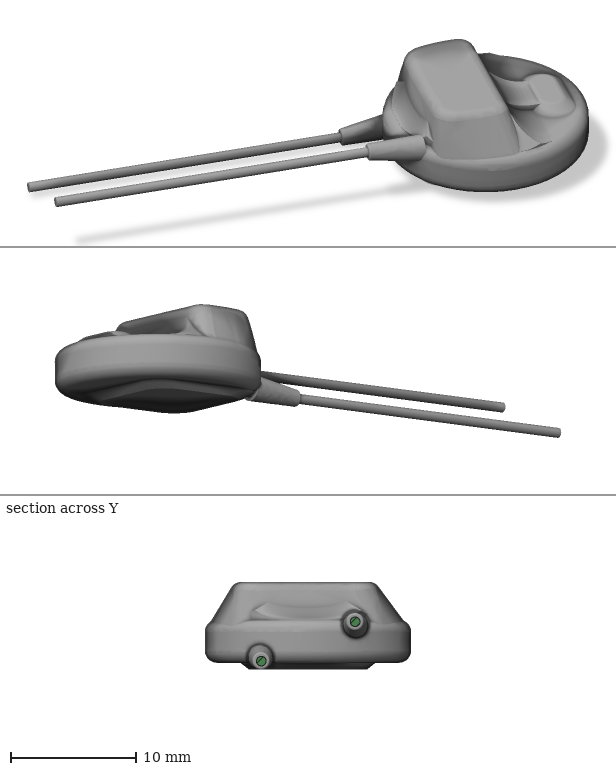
import cadquery as cq
import math

disc_radius = 8.25
disc_bottom = 0.55
disc_top = 4.0
disc_round = 1.0

hump_top = 7.01
hump_root = 3.2
hump_root_radius = 8.18
hump_root_back_y = 1.4
hump_root_corner_y = -5.85
hump_root_front_y = -6.6
hump_top_back_y = 0.35
hump_top_front_y = -5.35
hump_top_shift = -0.25
hump_top_back_half = 5.5
hump_top_front_half = 5.15
hump_top_side_half = 5.6
hump_top_bulge = 0.05
hump_back_round = 1.4
hump_front_round = 1.9
hump_top_round = 0.9

back_blend_foot = (3.55, disc_top)
back_blend_mid = (1.65, 4.7)
back_blend_head = (0.62, 6.0)
front_blend_foot = (-7.4, disc_top)
front_blend_mid = (-6.4, 4.55)
front_blend_head = (-5.72, 5.6)
back_blend_foot_half = 7.4
back_blend_head_half = 4.7
front_blend_foot_half = 5.6
front_blend_head_half = 2.8
blend_clip_radius = 7.5

ridge_root = 3.85
ridge_top = 4.65
ridge_y = 5.15
ridge_root_length = 7.4
ridge_root_width = 4.0
ridge_top_length = 4.4
ridge_top_width = 2.0
ridge_round = 0.5
neck_top = 4.5
neck_back_y = 5.2
neck_end_y = 0.4
neck_half_back = 1.85
neck_half_mid = 2.0
neck_half_end = 2.7
neck_mid_y = 2.3
neck_flank_mid = (1.9, 4.95)
neck_flank_start_y = 3.9
neck_flank_end_z = 6.2

pad_root_length = 10.8
pad_tip_length = 9.4
pad_back_y = 4.3
pad_front_y = -6.6
pad_slope = 1.0
pad_corner = 2.0

lead_pitch = 7.5
lead_radius = 0.4
overall_length = 45.25
lead_end_y = disc_radius - overall_length
lower_lead_z = 0.7
upper_lead_z = 3.85
sleeve_tip_y = -11.0
sleeve_root_y = -6.4
sleeve_tip_radius = 0.68
sleeve_root_radius = 1.1
sleeve_tip_round = 0.15
lead_embed_y = -6.0


def make_disc():
    disc = cq.Workplane("XY").workplane(offset=disc_bottom).circle(disc_radius)
    return disc.extrude(disc_top - disc_bottom).edges().fillet(disc_round)


def rim_point(y):
    """Point on the right-hand side of the hump's root circle."""
    return (math.sqrt(hump_root_radius**2 - y**2), y)


def mirrored(point):
    return (-point[0], point[1])


def hump_outline(plane, back, side, front, front_mid_y):
    """Closed outline, symmetric about Y, through the given right-hand points."""
    return (
        plane.moveTo(*back)
        .threePointArc(side, front)
        .threePointArc((0, front_mid_y), mirrored(front))
        .threePointArc(mirrored(side), mirrored(back))
        .close()
    )


def upright_corners(y_min, y_max):
    """Selects the hump's corner edges by the height of their midpoints."""
    low = hump_root + (hump_top - hump_root) / 3
    high = hump_top - (hump_top - hump_root) / 3
    return cq.selectors.BoxSelector((-disc_radius, y_min, low), (disc_radius, y_max, high))


def make_hump():
    root = hump_outline(
        cq.Workplane("XY", origin=(0, 0, hump_root)),
        rim_point(hump_root_back_y),
        rim_point((hump_root_back_y + hump_root_corner_y) / 2),
        rim_point(hump_root_corner_y),
        hump_root_front_y,
    )
    top_mid_y = (hump_top_back_y + hump_top_front_y) / 2
    top = hump_outline(
        root.workplane(offset=hump_top - hump_root).center(hump_top_shift, 0),
        (hump_top_back_half, hump_top_back_y),
        (hump_top_side_half, top_mid_y),
        (hump_top_front_half, hump_top_front_y),
        hump_top_front_y - hump_top_bulge,
    )
    hump = top.loft(ruled=True)
    hump = hump.edges(upright_corners(0, disc_radius)).fillet(hump_back_round)
    hump = hump.edges(upright_corners(-disc_radius, 0)).fillet(hump_front_round)
    return hump.faces(">Z").edges().fillet(hump_top_round)


def make_blend(foot, mid, head, foot_half, head_half):
    """Concave filler between the disc's upper face and one side of the hump."""
    core_y = (hump_top_back_y + hump_top_front_y) / 2
    profile = (
        cq.Workplane("YZ")
        .moveTo(core_y, hump_root)
        .lineTo(foot[0], hump_root)
        .lineTo(*foot)
        .threePointArc(mid, head)
        .lineTo(core_y, head[1])
        .close()
        .extrude(disc_radius, both=True)
    )
    ends = (
        cq.Workplane("XZ")
        .moveTo(-foot_half, hump_root)
        .lineTo(-foot_half, disc_top)
        .lineTo(-head_half, head[1])
        .lineTo(head_half, head[1])
        .lineTo(foot_half, disc_top)
        .lineTo(foot_half, hump_root)
        .close()
        .extrude(disc_radius, both=True)
    )
    clip = cq.Workplane("XY", origin=(0, 0, hump_root)).circle(blend_clip_radius)
    return profile.intersect(ends).intersect(clip.extrude(hump_top - hump_root))


def make_ridge():
    return (
        cq.Workplane("XY", origin=(0, ridge_y, ridge_root))
        .slot2D(ridge_root_length, ridge_root_width)
        .workplane(offset=ridge_top - ridge_root)
        .slot2D(ridge_top_length, ridge_top_width)
        .loft()
        .faces(">Z")
        .edges()
        .fillet(ridge_round)
    )


def make_neck():
    profile = (
        cq.Workplane("YZ")
        .moveTo(neck_back_y, ridge_root)
        .lineTo(neck_back_y, neck_top)
        .lineTo(neck_flank_start_y, neck_top)
        .threePointArc(neck_flank_mid, (neck_end_y, neck_flank_end_z))
        .lineTo(neck_end_y, ridge_root)
        .close()
        .extrude(neck_half_end, both=True)
    )
    plan = (
        cq.Workplane("XY", origin=(0, 0, ridge_root))
        .moveTo(neck_half_back, neck_back_y)
        .threePointArc((neck_half_mid, neck_mid_y), (neck_half_end, neck_end_y))
        .lineTo(-neck_half_end, neck_end_y)
        .threePointArc((-neck_half_mid, neck_mid_y), (-neck_half_back, neck_back_y))
        .close()
        .extrude(hump_top - ridge_root)
    )
    return profile.intersect(plan)


def make_pad():
    root_width = pad_back_y - pad_front_y
    root = cq.Sketch().rect(pad_root_length, root_width).vertices().fillet(pad_corner)
    tip = cq.Sketch().rect(pad_tip_length, root_width - 2 * pad_slope).vertices().fillet(pad_corner)
    return (
        cq.Workplane("XY", origin=(0, (pad_back_y + pad_front_y) / 2, disc_bottom))
        .placeSketch(root, tip.moved(cq.Location(cq.Vector(0, 0, -disc_bottom))))
        .loft()
    )


def make_lead(x, lead_z, root_z):
    """Round wire with a tapered sleeve whose root is centred at root_z."""
    wire = (
        cq.Workplane("XZ", origin=(x, lead_embed_y, lead_z))
        .circle(lead_radius)
        .extrude(lead_embed_y - lead_end_y)
    )
    sleeve = (
        cq.Workplane("XZ", origin=(x, sleeve_root_y, root_z))
        .circle(sleeve_root_radius)
        .workplane(offset=sleeve_root_y - sleeve_tip_y)
        .center(0, lead_z - root_z)
        .circle(sleeve_tip_radius)
        .loft()
        .faces("<Y")
        .edges()
        .fillet(sleeve_tip_round)
    )
    return wire.union(sleeve)


sleeve_growth = sleeve_root_radius - sleeve_tip_radius
lower_lead = make_lead(-lead_pitch / 2, lower_lead_z, lower_lead_z + sleeve_growth)
upper_lead = make_lead(lead_pitch / 2, upper_lead_z, upper_lead_z - sleeve_growth)

back_blend = make_blend(
    back_blend_foot, back_blend_mid, back_blend_head, back_blend_foot_half, back_blend_head_half
)
front_blend = make_blend(
    front_blend_foot, front_blend_mid, front_blend_head, front_blend_foot_half, front_blend_head_half
)
upper_features = (make_hump(), back_blend, front_blend, make_ridge(), make_neck())

result = make_disc()
for feature in upper_features + (make_pad(), lower_lead, upper_lead):
    result = result.union(feature)